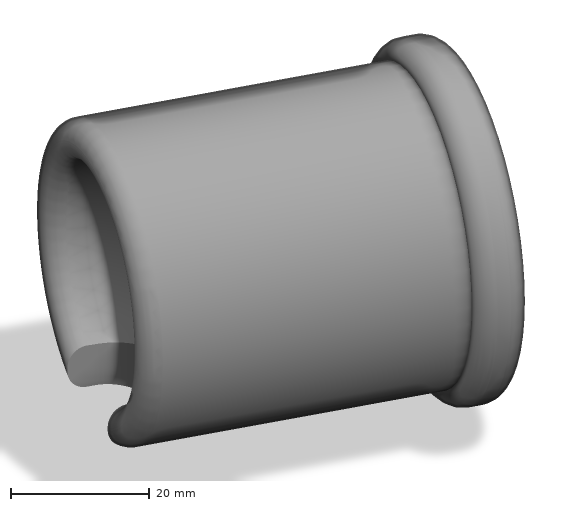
import cadquery as cq
import math

length = 58.3
flange_diameter = 54.5
flange_thickness = 8.0
edge_radius = 3.0
socket_radius = 18.0
notch_width = 17.5
socket_center_depth = 4.3

flange_radius = flange_diameter / 2
body_radius = flange_radius - edge_radius
open_end = -length / 2
flange_end = length / 2
socket_center_y = open_end + socket_center_depth


def cylinder_along_y(radius, start_y, height):
    base = cq.Workplane("XZ", origin=(0, start_y, 0))
    return base.circle(radius).extrude(-height)


def make_body():
    body = cylinder_along_y(body_radius, open_end, length)
    return body.faces("<Y").edges().fillet(edge_radius)


def make_flange():
    flange = cylinder_along_y(flange_radius, flange_end - flange_thickness, flange_thickness)
    return flange.edges().fillet(edge_radius)


def make_socket():
    """Spherical cavity and the flare that rounds the inner rim."""
    center_distance = socket_radius + edge_radius
    center_offset = socket_center_depth - edge_radius
    mouth_radius = math.sqrt(center_distance**2 - center_offset**2)
    contact_share = socket_radius / center_distance
    contact_radius = mouth_radius * contact_share
    contact_y = socket_center_y - center_offset * contact_share
    half_section = (
        cq.Workplane("XY")
        .moveTo(0, open_end)
        .lineTo(mouth_radius, open_end)
        .radiusArc((contact_radius, contact_y), edge_radius)
        .threePointArc((socket_radius, socket_center_y), (0, socket_center_y + socket_radius))
        .close()
    )
    return half_section.revolve(360, (0, 0, 0), (0, 1, 0))


def make_notch():
    """Round-ended slot through the lower wall, running out at the open end."""
    notch_radius = notch_width / 2
    round_end = cq.Workplane("XY").center(0, socket_center_y).circle(notch_radius).extrude(-flange_radius)
    straight_run = (
        cq.Workplane("XY")
        .center(0, open_end + socket_center_depth / 2)
        .rect(notch_width, socket_center_depth)
        .extrude(-flange_radius)
    )
    return round_end.union(straight_run)


result = make_body().union(make_flange()).cut(make_socket()).cut(make_notch())